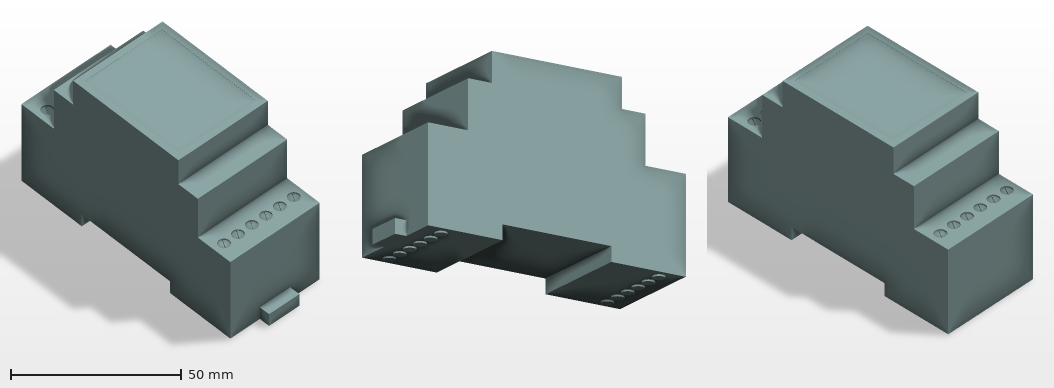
import cadquery as cq

BODY_LENGTH = 89.9
BODY_WIDTH = 36.0
BODY_HEIGHT = 58.0
TERMINAL_HEIGHT = 31.9
SHOULDER_HEIGHT = 48.0
SHOULDER_LENGTH = 61.9
TOP_LENGTH = 45.2

RAIL_LENGTH = 37.9
RAIL_DEPTH = 4.9

TOTAL_LENGTH = 93.8
LATCH_LENGTH = TOTAL_LENGTH - BODY_LENGTH
LATCH_WIDTH = 12.2
LATCH_HEIGHT = RAIL_DEPTH

LABEL_LENGTH = 40.3
LABEL_WIDTH = 31.1
LABEL_DEPTH = 0.1

SCREW_DIAMETER = 4.0
SCREW_COLUMN_SPACING = 76.0
SCREW_COLUMNS = 2
SCREWS_PER_COLUMN = 6
SCREW_PITCH = 5.6
SCREW_SHIFT = 0.6
SLOT_WIDTH = 0.2
SLOT_DEPTH = 0.4
SLOT_ANGLE = -30


def block(length, width, bottom, top):
    """Box centred in X and Y, between two levels."""
    return (
        cq.Workplane("XY", origin=(0, 0, bottom))
        .box(length, width, top - bottom, centered=(True, True, False))
    )


def housing():
    """Three stacked steps over the full width, less the rail channel."""
    base = block(BODY_LENGTH, BODY_WIDTH, 0, TERMINAL_HEIGHT)
    shoulder = block(SHOULDER_LENGTH, BODY_WIDTH, TERMINAL_HEIGHT, SHOULDER_HEIGHT)
    top = block(TOP_LENGTH, BODY_WIDTH, SHOULDER_HEIGHT, BODY_HEIGHT)
    rail_channel = block(RAIL_LENGTH, BODY_WIDTH, 0, RAIL_DEPTH)
    return base.union(shoulder).union(top).cut(rail_channel).clean()


def latch():
    """Rectangular tab on the +X end, level with the underside."""
    tab = block(LATCH_LENGTH, LATCH_WIDTH, 0, LATCH_HEIGHT)
    return tab.translate(((BODY_LENGTH + LATCH_LENGTH) / 2, 0, 0))


def label_recess():
    """Cutter for the label window."""
    return block(LABEL_LENGTH, LABEL_WIDTH, BODY_HEIGHT - LABEL_DEPTH, BODY_HEIGHT)


def screw_cylinders(bottom, height):
    """Cylinders of the screw diameter at every screw position."""
    return (
        cq.Workplane("XY", origin=(0, 0, bottom))
        .rarray(SCREW_COLUMN_SPACING, SCREW_PITCH, SCREW_COLUMNS, SCREWS_PER_COLUMN)
        .circle(SCREW_DIAMETER / 2)
        .extrude(height)
    )


def screw_slots():
    """Cutters for the slanted driver slots in the sunken screw heads."""
    head_level = TERMINAL_HEIGHT - SCREW_SHIFT
    return (
        cq.Workplane("XY", origin=(0, 0, head_level - SLOT_DEPTH))
        .rarray(SCREW_COLUMN_SPACING, SCREW_PITCH, SCREW_COLUMNS, SCREWS_PER_COLUMN)
        .slot2D(SCREW_DIAMETER, SLOT_WIDTH, SLOT_ANGLE)
        .extrude(SLOT_DEPTH)
    )


result = (
    housing()
    .union(latch())
    .cut(label_recess())
    .union(screw_cylinders(-SCREW_SHIFT, SCREW_SHIFT))
    .cut(screw_cylinders(TERMINAL_HEIGHT - SCREW_SHIFT, SCREW_SHIFT))
    .cut(screw_slots())
)